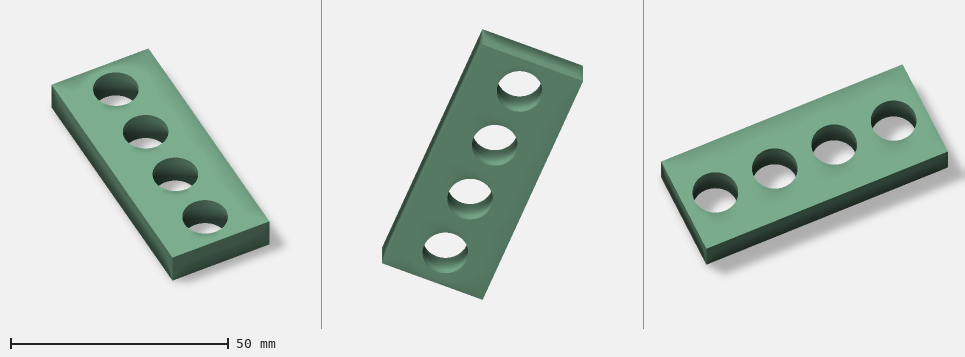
import cadquery as cq

length = 61.0
width = 25.0
thickness = 7.75

hole_count = 4
hole_diameter = 10.5
hole_pitch = 15.0

plate = cq.Workplane("XY").box(length, width, thickness)

result = (
    plate.faces(">Z")
    .workplane()
    .rarray(hole_pitch, 0.6, hole_count, 1)
    .hole(hole_diameter)
)